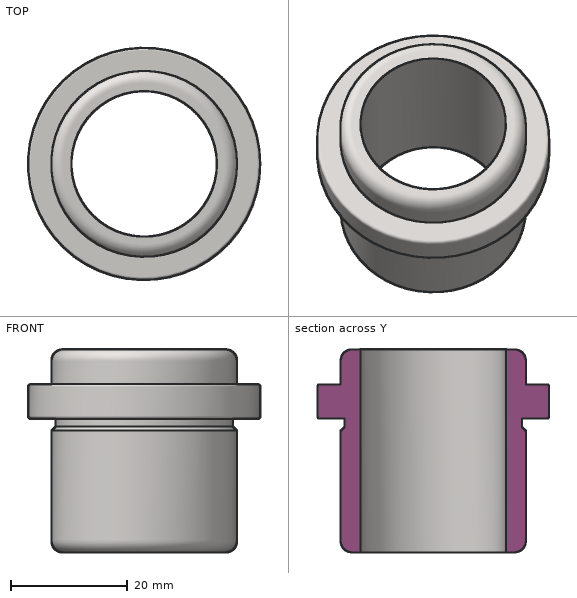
import cadquery as cq

height = 35.0
bore_diameter = 25.0
body_diameter = 32.0
end_rounding = 2.0

flange_diameter = 40.0
flange_thickness = 6.0
flange_rounding = 0.48
collar_height = 6.0

groove_diameter = 30.6
groove_floor_width = 1.3

groove_depth = (body_diameter - groove_diameter) / 2
flange_top = height - collar_height
flange_bottom = flange_top - flange_thickness
groove_bottom = flange_bottom - groove_floor_width


def cylinder(diameter, bottom, top):
    """Upright cylinder on the Z axis between two heights."""
    return cq.Workplane("XY").workplane(offset=bottom).circle(diameter / 2).extrude(top - bottom)


lower_body = cylinder(body_diameter, 0, groove_bottom)
lower_body = lower_body.faces("<Z").edges().fillet(end_rounding)
lower_body = lower_body.faces(">Z").edges().chamfer(groove_depth)

neck = cylinder(groove_diameter, groove_bottom - groove_depth, flange_bottom)

flange = cylinder(flange_diameter, flange_bottom, flange_top)
flange = flange.edges().fillet(flange_rounding)

collar = cylinder(body_diameter, flange_bottom, height)
collar = collar.faces(">Z").edges().fillet(end_rounding)

bore = cylinder(bore_diameter, 0, height)

result = lower_body.union(neck).union(flange).union(collar).cut(bore)